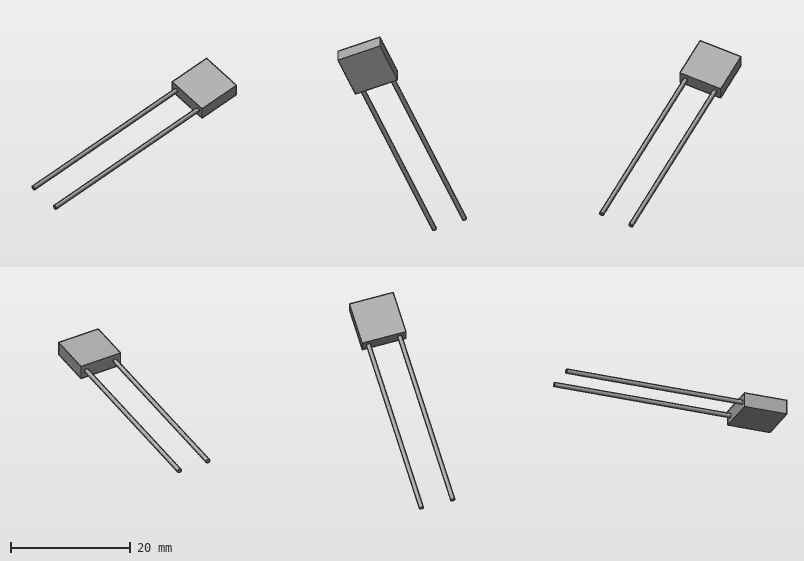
import cadquery as cq

TOTAL_LENGTH = 39.37
CASE_SIDE = 7.65
CASE_THICKNESS = 2.55

LEAD_DIAMETER = 0.75
LEAD_SPACING = 5.47
LEAD_LENGTH = TOTAL_LENGTH - CASE_SIDE


def make_case():
    """Block centred on X and Z, with its lead face on Y = 0."""
    return cq.Workplane("XY").box(
        CASE_SIDE, CASE_SIDE, CASE_THICKNESS, centered=(True, False, True)
    )


def make_lead(x):
    """Wire running from the lead face toward -Y at the given X."""
    return (
        cq.Workplane("XZ")
        .center(x, 0)
        .circle(LEAD_DIAMETER / 2)
        .extrude(LEAD_LENGTH)
    )


case = make_case()
leads = [make_lead(side * LEAD_SPACING / 2) for side in (-1, 1)]

result = cq.Compound.makeCompound([case.val(), *[lead.val() for lead in leads]])